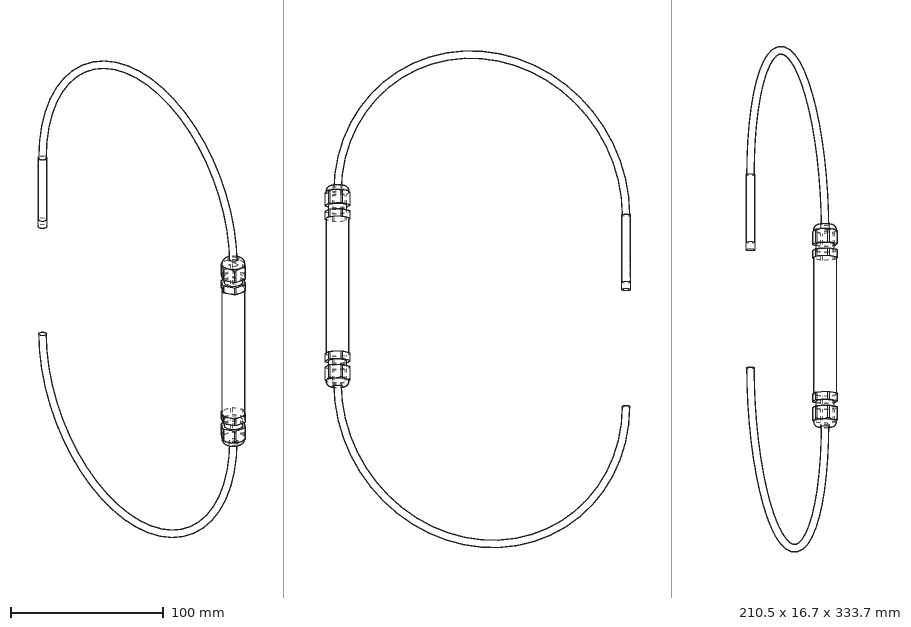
import cadquery as cq
import math

OVERALL_WIDTH = 210.5
OVERALL_HEIGHT = 333.7

TUBE_DIAMETER = 15.0
TUBE_LENGTH = 90.8

HEX_ACROSS_FLATS = 15.0
HEX_CORNER_DIAMETER = 16.7
NUT_HEIGHT = 5.0
NECK_DIAMETER = 12.0
NECK_HEIGHT = 4.0
CAP_HEIGHT = 13.0
CAP_TIP_DIAMETER = 8.0
CAP_DOME_HEIGHT = 4.0
CAP_BEVEL_HEIGHT = 0.7
MOUTH_DIAMETER = 6.0

CABLE_DIAMETER = 5.0
BEND_MIDDLE_Z = -1.0

SLEEVE_DIAMETER = 6.0
SLEEVE_LENGTH = 50.0
SLEEVE_END_WALL = 5.0

HEX_SHARP_DIAMETER = HEX_ACROSS_FLATS / math.cos(math.pi / 6)
BEND_RADIUS = (OVERALL_WIDTH - TUBE_DIAMETER / 2 - SLEEVE_DIAMETER / 2) / 2
CABLE_FREE_END_X = -2 * BEND_RADIUS
BEND_CENTRE_GAP = OVERALL_HEIGHT - 2 * BEND_RADIUS - CABLE_DIAMETER
UPPER_BEND_Z = BEND_MIDDLE_Z + BEND_CENTRE_GAP / 2
LOWER_BEND_Z = BEND_MIDDLE_Z - BEND_CENTRE_GAP / 2
SLEEVE_BORE_DEPTH = SLEEVE_LENGTH - SLEEVE_END_WALL


def cylinder(x, z, diameter, height):
    """Upright cylinder with its axis in the XZ plane; a negative height runs down from z."""
    return cq.Workplane("XY", origin=(x, 0, z)).circle(diameter / 2).extrude(height)


def make_tube():
    return cylinder(0, -TUBE_LENGTH / 2, TUBE_DIAMETER, TUBE_LENGTH)


def cable_bend(bend_z, direction):
    """Half-circle cable that bows up (direction 1) or down (direction -1)."""
    path = (
        cq.Workplane("XZ")
        .moveTo(0, bend_z)
        .threePointArc(
            (-BEND_RADIUS, bend_z + direction * BEND_RADIUS),
            (CABLE_FREE_END_X, bend_z),
        )
    )
    return cq.Workplane("XY", origin=(0, 0, bend_z)).circle(CABLE_DIAMETER / 2).sweep(path)


def sleeved_cable_end():
    """Straight stretch of the upper cable that fills the sleeve's bore."""
    return cylinder(CABLE_FREE_END_X, UPPER_BEND_Z, CABLE_DIAMETER, -SLEEVE_BORE_DEPTH)


def make_upper_cable():
    return cable_bend(UPPER_BEND_Z, 1).union(sleeved_cable_end())


def make_lower_cable():
    return cable_bend(LOWER_BEND_Z, -1)


def make_sleeve():
    body = cylinder(CABLE_FREE_END_X, UPPER_BEND_Z, SLEEVE_DIAMETER, -SLEEVE_LENGTH)
    return body.cut(sleeved_cable_end())


def hex_prism(bottom_z, height):
    """Hexagon with two corners on the Y axis, its corners rounded off."""
    prism = (
        cq.Workplane("XY", origin=(0, 0, bottom_z))
        .transformed(rotate=(0, 0, 90))
        .polygon(6, HEX_SHARP_DIAMETER)
        .extrude(height)
    )
    return prism.intersect(cylinder(0, bottom_z, HEX_CORNER_DIAMETER, height))


def dome_envelope(bottom_z, tip_z):
    """Round body that bevels the cap's corners and rounds its end over to a flat tip."""
    rim_radius = HEX_CORNER_DIAMETER / 2
    dome_radius = HEX_ACROSS_FLATS / 2
    dome_z = tip_z - CAP_DOME_HEIGHT
    round_radius = (HEX_ACROSS_FLATS - CAP_TIP_DIAMETER) / 2
    round_z = tip_z - round_radius
    return (
        cq.Workplane("XZ")
        .moveTo(0, bottom_z)
        .lineTo(rim_radius, bottom_z)
        .lineTo(rim_radius, dome_z - CAP_BEVEL_HEIGHT)
        .lineTo(dome_radius, dome_z)
        .lineTo(dome_radius, round_z)
        .tangentArcPoint((CAP_TIP_DIAMETER / 2, tip_z), relative=False)
        .lineTo(0, tip_z)
        .close()
        .revolve(360, (0, 0, 0), (0, 1, 0))
    )


def make_gland(mouth_floor_z):
    """Gland at the tube's upper end, its mouth bored from the tip down to where the cable stops."""
    nut_z = TUBE_LENGTH / 2
    neck_z = nut_z + NUT_HEIGHT
    cap_z = neck_z + NECK_HEIGHT
    tip_z = cap_z + CAP_HEIGHT
    nut = hex_prism(nut_z, NUT_HEIGHT)
    neck = cylinder(0, neck_z, NECK_DIAMETER, NECK_HEIGHT)
    cap = hex_prism(cap_z, CAP_HEIGHT).intersect(dome_envelope(cap_z, tip_z))
    mouth = cylinder(0, mouth_floor_z, MOUTH_DIAMETER, tip_z - mouth_floor_z)
    return nut.union(neck).union(cap).cut(mouth)


tube = make_tube()
sleeve = make_sleeve()
cables = [make_upper_cable(), make_lower_cable()]
glands = [make_gland(UPPER_BEND_Z), make_gland(-LOWER_BEND_Z).mirror("XY")]

result = cq.Compound.makeCompound(
    [
        tube.val(),
        sleeve.val(),
        *[cable.val() for cable in cables],
        *[gland.val() for gland in glands],
    ]
)